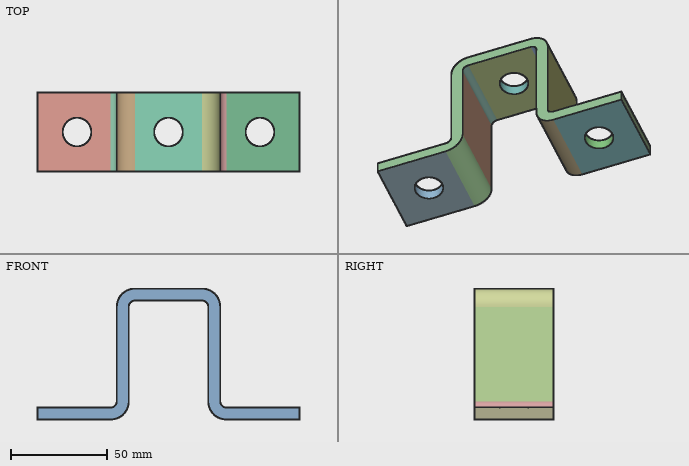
import cadquery as cq

length = 136.54
width = 41.27
height = 68.27

thickness = 6.35
inner_radius = 3.175
outer_radius = inner_radius + thickness
hat_width = 53.975

hole_diameter = 14.8
hole_end_distance = width / 2

half_length = length / 2
leg_outer = hat_width / 2
leg_inner = leg_outer - thickness
top_bend_x = leg_outer - outer_radius
top_bend_z = height - outer_radius
foot_bend_x = leg_inner + outer_radius
foot_bend_z = outer_radius
foot_hole_x = half_length - hole_end_distance


def bent_strip():
    """Constant-thickness strip: draw the +X half, mirror it and extrude along Y."""
    return (
        cq.Workplane("XZ")
        .moveTo(0, height)
        .lineTo(top_bend_x, height)
        .radiusArc((leg_outer, top_bend_z), outer_radius)
        .lineTo(leg_outer, foot_bend_z)
        .radiusArc((foot_bend_x, thickness), -inner_radius)
        .lineTo(half_length, thickness)
        .lineTo(half_length, 0)
        .lineTo(foot_bend_x, 0)
        .radiusArc((leg_inner, foot_bend_z), outer_radius)
        .lineTo(leg_inner, top_bend_z)
        .radiusArc((top_bend_x, height - thickness), -inner_radius)
        .lineTo(0, height - thickness)
        .mirrorY()
        .extrude(width / 2, both=True)
    )


def bolt_holes():
    """Vertical cutters through both feet and the middle of the top."""
    return (
        cq.Workplane("XY")
        .pushPoints([(x, 0) for x in (-foot_hole_x, 0, foot_hole_x)])
        .circle(hole_diameter / 2)
        .extrude(height)
    )


result = bent_strip().cut(bolt_holes())